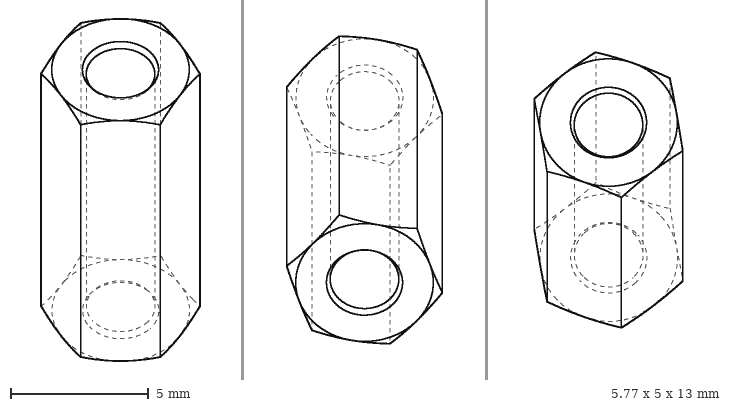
import cadquery as cq
import math

length = 13.0
across_flats = 5.0
across_corners = across_flats / math.cos(math.radians(30))

bore_diameter = 2.5
countersink_diameter = 2.77
countersink_wall_angle = 60.0

corner_chamfer_angle = 30.0


def cone_height(outer_diameter, inner_diameter, angle):
    """Height of a cone between two diameters, sloping at angle from the end face."""
    return (outer_diameter - inner_diameter) / 2 * math.tan(math.radians(angle))


def make_chamfered_hexagon():
    """Hexagonal bar cut to a chamfered cylinder whose end circles touch the flats."""
    end_radius = across_flats / 2
    corner_radius = across_corners / 2
    chamfer_height = cone_height(across_corners, across_flats, corner_chamfer_angle)
    bar = cq.Workplane("XY").polygon(6, across_corners).extrude(length)
    envelope = (
        cq.Workplane("XZ")
        .moveTo(0, 0)
        .lineTo(end_radius, 0)
        .lineTo(corner_radius, chamfer_height)
        .lineTo(corner_radius, length - chamfer_height)
        .lineTo(end_radius, length)
        .lineTo(0, length)
        .close()
        .revolve(360, (0, 0), (0, 1))
    )
    return bar.intersect(envelope)


def make_bore():
    """Cutter for the through bore and both countersinks."""
    bore_radius = bore_diameter / 2
    mouth_radius = countersink_diameter / 2
    depth = cone_height(countersink_diameter, bore_diameter, countersink_wall_angle)
    return (
        cq.Workplane("XZ")
        .moveTo(0, 0)
        .lineTo(mouth_radius, 0)
        .lineTo(bore_radius, depth)
        .lineTo(bore_radius, length - depth)
        .lineTo(mouth_radius, length)
        .lineTo(0, length)
        .close()
        .revolve(360, (0, 0), (0, 1))
    )


result = make_chamfered_hexagon().cut(make_bore())